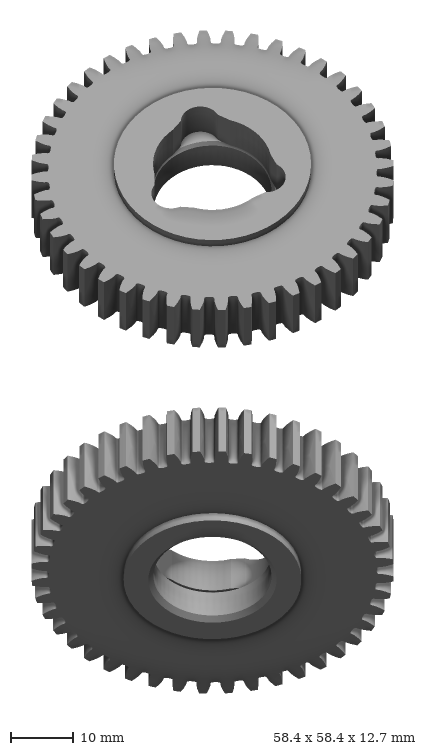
import cadquery as cq
import math

teeth = 44
tip_radius = 29.2
module = 2 * tip_radius / (teeth + 2)
pitch_radius = module * teeth / 2
pressure_angle = math.radians(14.5)
base_radius = pitch_radius * math.cos(pressure_angle)
dedendum = 1.45
root_radius = pitch_radius - dedendum
root_fillet = 0.35
flank_steps = 4
tooth_phase = -0.5

total_height = 12.7
step_height = 1.6
rim_height = total_height - 2 * step_height
bottom_z = -total_height / 2
rim_bottom_z = bottom_z + step_height
rim_top_z = rim_bottom_z + rim_height
top_z = rim_top_z + step_height

lower_boss_radius = 14.3
bore_radius = 9.5
seat_chamfer = 0.5
bottom_chamfer = 0.8

insert_radius = 15.9
insert_height = 6.35
seat_z = top_z - insert_height
opening_radius = 9.6
lobes = 3
lobe_phase = 3.5
lobe_radius = 3.15
lobe_center = 9.05
lobe_arc_end_angle = 75.0
lobe_flat_angle = 29.5


def polar(radius, angle):
    return (radius * math.cos(angle), radius * math.sin(angle))


def cylinder(radius, z, height):
    return cq.Workplane("XY").workplane(offset=z).circle(radius).extrude(height)


def flank_half_angle(radius):
    """Angle from the middle of a tooth to its involute flank at this radius."""
    slope_angle = math.acos(base_radius / radius)
    involute = math.tan(slope_angle) - slope_angle
    pitch_involute = math.tan(pressure_angle) - pressure_angle
    return math.pi / (2 * teeth) + pitch_involute - involute


def gap_points(middle):
    """Smooth wall of a tooth gap, from the tip of one tooth down to the root and up to the next."""
    half_pitch = math.pi / teeth
    fillet_center_radius = root_radius + root_fillet
    fillet_lean = math.asin(root_fillet / fillet_center_radius)
    fillet_center_offset = half_pitch - flank_half_angle(base_radius) - fillet_lean

    involute_radii = [
        tip_radius + (base_radius - tip_radius) * i / flank_steps for i in range(flank_steps + 1)
    ]
    wall = [(r, half_pitch - flank_half_angle(r)) for r in involute_radii]
    wall.append((fillet_center_radius, fillet_center_offset + fillet_lean))
    diagonal = root_fillet * math.sqrt(0.5)
    wall.append((fillet_center_radius - diagonal, fillet_center_offset + diagonal / root_radius))
    wall.append((root_radius, fillet_center_offset))

    first_wall = [polar(r, middle - offset) for r, offset in wall]
    second_wall = [polar(r, middle + offset) for r, offset in reversed(wall)]
    return first_wall + second_wall


def gear_outline():
    """Closed outline of tip arcs joined by smooth tooth gaps."""
    pitch = 2 * math.pi / teeth
    tip_half_angle = flank_half_angle(tip_radius)
    first_tooth = math.radians(tooth_phase)
    outline = cq.Workplane("XY").workplane(offset=rim_bottom_z)
    outline = outline.moveTo(*polar(tip_radius, first_tooth - tip_half_angle))
    for i in range(teeth):
        tooth = first_tooth + i * pitch
        gap = gap_points(tooth + pitch / 2)
        outline = outline.threePointArc(polar(tip_radius, tooth), gap[0])
        outline = outline.spline(gap[1:], includeCurrent=True)
    return outline.close()


def bore_chamfer(lower_radius, z, upper_radius, height):
    """Cone that cuts a chamfer at an end of the bore."""
    return cq.Workplane(cq.Solid.makeCone(lower_radius, upper_radius, height, pnt=cq.Vector(0, 0, z)))


def make_gear():
    """Toothed rim with a lower boss, a recess for the insert and a chamfered bore."""
    gear = gear_outline().extrude(rim_height)
    gear = gear.union(cylinder(lower_boss_radius, bottom_z, step_height))
    gear = gear.cut(cylinder(insert_radius, seat_z, insert_height))
    gear = gear.cut(cylinder(bore_radius, bottom_z, total_height))
    upper_chamfer_z = seat_z - seat_chamfer
    upper_chamfer = bore_chamfer(bore_radius, upper_chamfer_z, bore_radius + seat_chamfer, seat_chamfer)
    lower_chamfer = bore_chamfer(bore_radius + bottom_chamfer, bottom_z, bore_radius, bottom_chamfer)
    return gear.cut(upper_chamfer).cut(lower_chamfer)


def lobe():
    """One lobe of the opening: a round nose with a flat running back on each side."""
    arc_x, arc_y = polar(lobe_radius, math.radians(lobe_arc_end_angle))
    arc_x += lobe_center
    flat_x, flat_y = polar(opening_radius, math.radians(lobe_flat_angle))
    return (
        cq.Workplane("XY")
        .workplane(offset=seat_z)
        .lineTo(flat_x, -flat_y)
        .lineTo(arc_x, -arc_y)
        .threePointArc((lobe_center + lobe_radius, 0), (arc_x, arc_y))
        .lineTo(flat_x, flat_y)
        .close()
        .extrude(insert_height)
    )


def make_insert():
    """Disc with a round opening that has equally spaced lobes."""
    insert = cylinder(insert_radius, seat_z, insert_height)
    insert = insert.cut(cylinder(opening_radius, seat_z, insert_height))
    for i in range(lobes):
        angle = lobe_phase + i * 360 / lobes
        insert = insert.cut(lobe().rotate((0, 0, 0), (0, 0, 1), angle))
    return insert


gear = make_gear()
insert = make_insert()
result = cq.Compound.makeCompound([gear.solids().val(), insert.solids().val()])